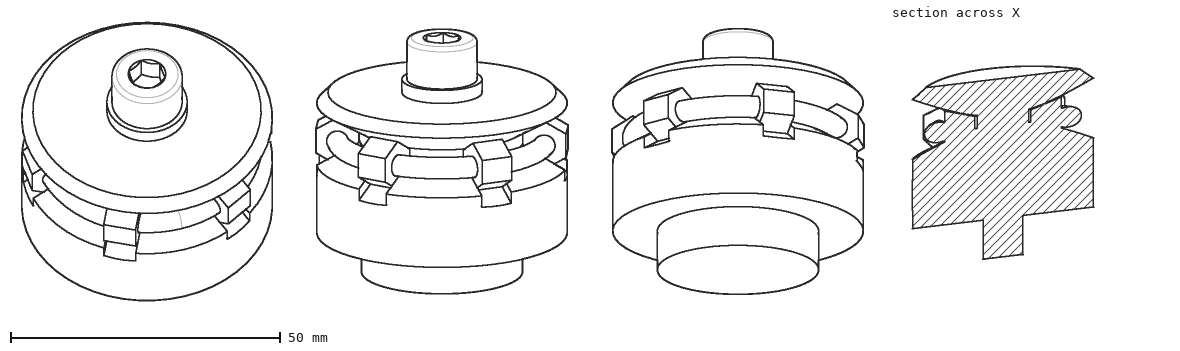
import cadquery as cq
import math

rim_radius = 23.25
groove_slope = math.tan(math.radians(30))

spigot_radius = 14.95
spigot_height = 7.55
body_rim_z = 20.95
core_radius = 15.35

disk_rim_z = 32.5
disk_chamfer = 2.1

washer_radius = 7.45
washer_height = 2.5
head_radius = 6.5
head_fillet = 0.8
top_z = 45.1

socket_flats = 6.0
socket_depth = 4.0
socket_tip_angle = 120.0

jaw_count = 6
jaw_start_angle = 30.0
jaw_width = 6.05
jaw_face_half_height = 2.3
jaw_bevel_run = 4.0
jaw_clearance = 0.02

ring_radius = 19.45
ring_wire_radius = 2.0

cone_height = (rim_radius - core_radius) * groove_slope
body_top_z = body_rim_z + cone_height
disk_bottom_z = disk_rim_z - cone_height
disk_top_z = disk_rim_z + disk_chamfer
washer_top_z = disk_top_z + washer_height

jaw_bevel_height = jaw_bevel_run * groove_slope
jaw_half_height = jaw_face_half_height + jaw_bevel_height
jaw_peak_radius = rim_radius - jaw_bevel_run
jaw_inner_radius = jaw_peak_radius - jaw_bevel_run
jaw_mid_z = disk_rim_z - jaw_bevel_height - jaw_half_height - jaw_clearance


def cylinder(radius, bottom_z, upper_z):
    return cq.Workplane("XY").workplane(offset=bottom_z).circle(radius).extrude(upper_z - bottom_z)


def radial_prism(points, angle):
    """Extrude a (radius, z) outline to the jaw width and turn it about Z."""
    prism = cq.Workplane("XZ").polyline(points).close().extrude(jaw_width / 2, both=True)
    return prism.rotate((0, 0, 0), (0, 0, 1), angle)


def revolved(points):
    return cq.Workplane("XZ").polyline(points).close().revolve(360, (0, 0), (0, 1))


def make_spool():
    """Spigot, body, core and clamping disk, turned in one piece with a V groove."""
    return revolved([
        (0, 0),
        (spigot_radius, 0),
        (spigot_radius, spigot_height),
        (rim_radius, spigot_height),
        (rim_radius, body_rim_z),
        (core_radius, body_top_z),
        (core_radius, disk_bottom_z),
        (rim_radius, disk_rim_z),
        (rim_radius - disk_chamfer, disk_top_z),
        (0, disk_top_z),
    ])


def make_jaw(angle):
    return radial_prism([
        (rim_radius, jaw_mid_z - jaw_face_half_height),
        (rim_radius, jaw_mid_z + jaw_face_half_height),
        (jaw_peak_radius, jaw_mid_z + jaw_half_height),
        (jaw_inner_radius, jaw_mid_z + jaw_face_half_height),
        (jaw_inner_radius, jaw_mid_z - jaw_face_half_height),
        (jaw_peak_radius, jaw_mid_z - jaw_half_height),
    ], angle)


def make_slot(angle):
    """Sloped guide slot whose floor carries the lower inner bevel of a jaw."""
    peak_z = jaw_mid_z - jaw_half_height
    outer_radius = 1.1 * rim_radius
    outer_z = peak_z - (outer_radius - jaw_peak_radius) * groove_slope
    inner_z = peak_z + jaw_bevel_height
    return radial_prism([
        (outer_radius, outer_z),
        (outer_radius, body_top_z),
        (jaw_inner_radius, body_top_z),
        (jaw_inner_radius, inner_z),
    ], angle)


def make_ring():
    wire = cq.Workplane("XZ").center(ring_radius, jaw_mid_z).circle(ring_wire_radius)
    return wire.revolve(360, (-ring_radius, 0), (-ring_radius, 1))


def make_washer_and_head():
    washer = cylinder(washer_radius, disk_top_z, washer_top_z)
    head = cylinder(head_radius, washer_top_z, top_z).faces(">Z").edges().fillet(head_fillet)
    return washer.union(head)


def make_socket():
    """Hexagon socket with a 45 degree lead-in and a conical bottom."""
    corner_radius = socket_flats / math.sqrt(3)
    lead_in = corner_radius - socket_flats / 2
    tip_height = corner_radius / math.tan(math.radians(socket_tip_angle / 2))
    floor_z = top_z - socket_depth
    tip_z = floor_z - tip_height
    hexagon = (
        cq.Workplane("XY").workplane(offset=tip_z)
        .polygon(6, 2 * corner_radius).extrude(top_z - tip_z)
    )
    drilled = revolved([(0, tip_z), (corner_radius, floor_z), (corner_radius, top_z), (0, top_z)])
    countersink = revolved([
        (0, top_z - lead_in),
        (corner_radius - lead_in, top_z - lead_in),
        (corner_radius, top_z),
        (0, top_z),
    ])
    return hexagon.intersect(drilled).union(countersink)


jaw_angles = [jaw_start_angle + i * 360 / jaw_count for i in range(jaw_count)]

jaw_ring = make_ring()
for jaw_angle in jaw_angles:
    jaw_ring = jaw_ring.union(make_jaw(jaw_angle))

result = make_spool().union(make_washer_and_head())
for jaw_angle in jaw_angles:
    result = result.cut(make_slot(jaw_angle))

result = result.union(jaw_ring).cut(make_socket())